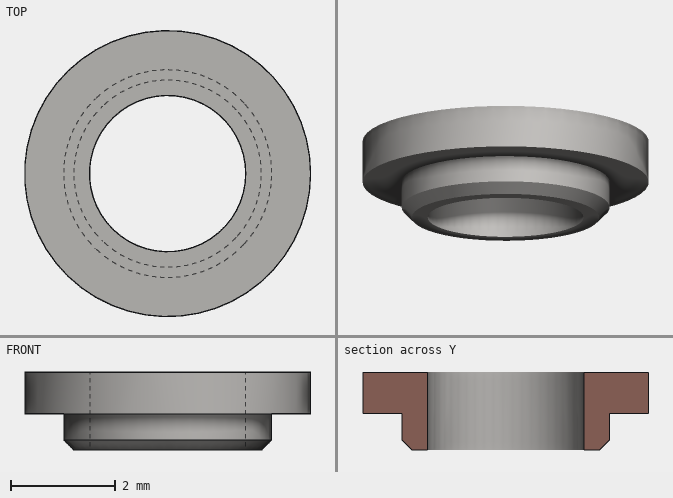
import cadquery as cq

flange_diameter = 5.5
spigot_diameter = 4.0
bore_diameter = 3.0
total_height = 1.5
flange_thickness = 0.805
chamfer_size = 0.2

spigot_height = total_height - flange_thickness

spigot = (
    cq.Workplane("XY")
    .circle(spigot_diameter / 2)
    .extrude(spigot_height)
    .faces("<Z")
    .chamfer(chamfer_size)
)

flange = (
    cq.Workplane("XY")
    .workplane(offset=spigot_height)
    .circle(flange_diameter / 2)
    .extrude(flange_thickness)
)

bore = cq.Workplane("XY").circle(bore_diameter / 2).extrude(total_height)

result = spigot.union(flange).cut(bore)